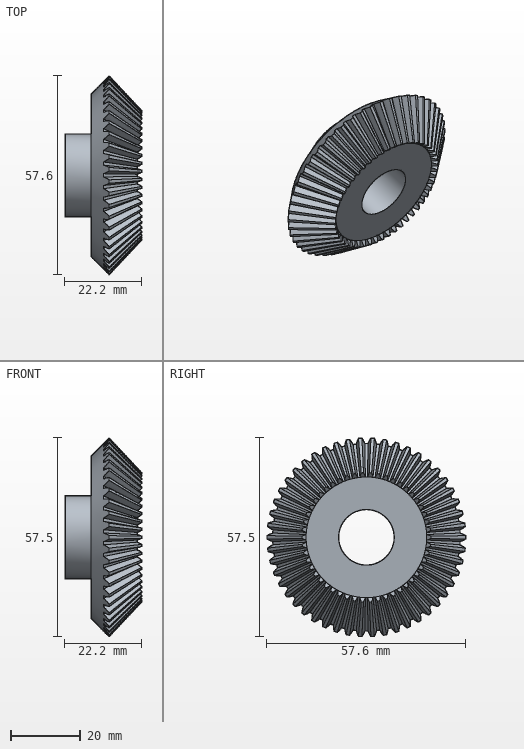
import cadquery as cq
import math

overall_length = 22.2
hub_length = 7.55
hub_radius = 12.0
bore_radius = 8.0
back_face_radius = 23.55
outer_radius = 28.8

tooth_count = 50
tip_apex_x = 39.75
back_cone_angle = math.radians(45)
radial_depth_back = 1.6
radial_depth_front = 1.25
root_gap_width = 0.9
middle_gap_width = 1.65
tip_gap_width = 2.65

clearance_ratio = 1.5
overrun = 0.1

tip_back_x = hub_length + (outer_radius - back_face_radius) / math.tan(back_cone_angle)
front_taper = (tip_apex_x - overall_length) / (tip_apex_x - tip_back_x)


def taper_at(position):
    """Width ratio along the face: position 0 is the back end, 1 the front end."""
    return 1 + position * (front_taper - 1)


def tip_point(position):
    """(x, radius) of the tooth tip along the face."""
    taper = taper_at(position)
    return (tip_apex_x - taper * (tip_apex_x - tip_back_x), taper * outer_radius)


def radial_depth(position):
    """Radial part of the tooth depth along the face."""
    return radial_depth_back + position * (radial_depth_front - radial_depth_back)


def root_point(position):
    """(x, radius) of the gap floor, down the back-cone direction from the tip."""
    x, radius = tip_point(position)
    depth = radial_depth(position)
    return (x - depth / math.tan(back_cone_angle), radius - depth)


def make_blank():
    """Turned body with the hub, the back cone, the face cone and the bore."""
    front_x, front_radius = root_point(1)
    profile = [
        (0, bore_radius),
        (0, hub_radius),
        (hub_length, hub_radius),
        (hub_length, back_face_radius),
        tip_point(0),
        tip_point(1),
        (front_x, front_radius),
        (front_x, bore_radius),
    ]
    return cq.Workplane("XZ").polyline(profile).close().revolve(360, (0, 0), (1, 0)).val()


def gap_section(position):
    """Cross-section of the gap at +Z, on a plane parallel to the back cone."""
    x, radius = root_point(position)
    plane = cq.Plane(
        origin=(x, 0, radius),
        xDir=(0, 1, 0),
        normal=(math.sin(back_cone_angle), 0, -math.cos(back_cone_angle)),
    )
    taper = taper_at(position)
    root = taper * root_gap_width / 2
    middle = taper * middle_gap_width / 2
    tip = taper * tip_gap_width / 2
    depth = radial_depth(position) / math.sin(back_cone_angle)
    open_top = clearance_ratio * depth
    outline = (
        cq.Workplane(plane)
        .moveTo(-root, 0)
        .lineTo(root, 0)
        .threePointArc((middle, depth / 2), (tip, depth))
        .lineTo(tip, open_top)
        .lineTo(-tip, open_top)
        .lineTo(-tip, depth)
        .threePointArc((-middle, depth / 2), (-root, 0))
        .close()
    )
    return outline.val()


def make_gaps():
    """All tooth gaps as one compound, the first centred on +Z."""
    sections = [gap_section(-overrun), gap_section(1 + overrun)]
    gap = cq.Solid.makeLoft(sections, True)
    pitch_angle = 360 / tooth_count
    gaps = [gap.rotate((0, 0, 0), (1, 0, 0), i * pitch_angle) for i in range(tooth_count)]
    return cq.Compound.makeCompound(gaps)


gear = make_blank().cut(make_gaps())
result = cq.Workplane(gear.Solids()[0])